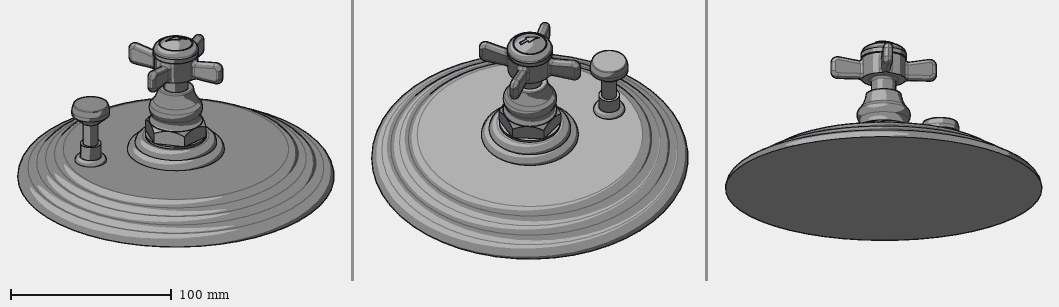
import cadquery as cq
import math

PLATE_RADIUS = 98.425
TOTAL_HEIGHT = 96.42

PLATE_WAVE_RADIUS = 6.35
PLATE_WAVE_ANGLE = math.radians(60)
PLATE_STEP_COUNT = 2
PLATE_HEIGHT = (PLATE_STEP_COUNT + 1) * PLATE_WAVE_RADIUS

FLANGE_TIER = 4.7625
FLANGE_TIER_COUNT = 2
FLANGE_RADIUS = 30.16
FLANGE_TOP = PLATE_HEIGHT + FLANGE_TIER_COUNT * FLANGE_TIER
WASHER_RADIUS = 19.05
WASHER_THICKNESS = 1.4
WASHER_TOP = FLANGE_TOP + WASHER_THICKNESS

HEX_SIDES = 6
HEX_ACROSS_FLATS = 33.6
HEX_ACROSS_CORNERS = HEX_ACROSS_FLATS / math.cos(math.pi / HEX_SIDES)
HEX_TOP = 39.4
HEX_TOP_RADIUS = 16.8

BONNET_BASE_RADIUS = 16.5
WAIST_RADIUS = 14.9
WAIST_Z = 42.3
BEAD_LOW_RADIUS = 15.7
BEAD_LOW_Z = 45.2
BEAD_RADIUS = 16.6
BEAD_Z = 47.9
BEAD_HIGH_RADIUS = 16.0
BEAD_HIGH_Z = 50.8
SHOULDER_RADIUS = 14.0
SHOULDER_Z = 53.3
BELL_MID_RADIUS = 12.2
BELL_MID_Z = 56.7
BELL_TOP_RADIUS = 11.0
BONNET_TOP = 62.2
BONNET_EDGE = 0.7

STEM_RADIUS = 7.65
STEM_FLARE = 1.7
HUB_RADIUS = 13.6
HUB_BOTTOM = 71.7
HUB_TOP = 85.1
HUB_TRIM = 5.0

ARROW_HEIGHT = 0.25
ARROW_TAIL_Y = 6.6
ARROW_HEAD_Y = 1.8
ARROW_TIP_Y = -6.6
ARROW_SHAFT_WIDTH = 2.0
ARROW_HEAD_WIDTH = 5.2

CAP_RADIUS = 14.2
CAP_EDGE = 0.4
CAP_SIDE_TOP = 88.3
CAP_SHOULDER_RADIUS = 13.8
CAP_SHOULDER_Z = 89.4
CAP_ROUND_MID_RADIUS = 12.7
CAP_ROUND_MID_Z = 91.2
CAP_RIM_RADIUS = 10.6
CAP_RIM_Z = 92.5
DOME_RADIUS = 10.0
DOME_TOP = TOTAL_HEIGHT - ARROW_HEIGHT
DOME_RISE = DOME_TOP - CAP_RIM_Z
DOME_SPHERE_RADIUS = (DOME_RADIUS**2 + DOME_RISE**2) / (2 * DOME_RISE)

ARM_COUNT = 4
ARM_FIRST_ANGLE = 45
ARM_REACH = 33.0
ARM_THICKNESS = 5.6
ARM_EDGE_RADIUS = 2.7
ARM_CORNER_RADIUS = 4.2
ARM_BOTTOM = HUB_BOTTOM
ARM_AXIS_TOP = 80.8
ARM_TIP_TOP = 86.6
ARM_ROOT_BLEND = 2.0
SEAM_TOLERANCE = 0.01

KNOB_Y = -55.1
KNOB_ROSETTE_RADIUS = 9.8
KNOB_ROSETTE_HEIGHT = 2.8
KNOB_SLEEVE_RADIUS = 6.45
KNOB_SLEEVE_TOP = 30.8
KNOB_STEM_RADIUS = 4.7
KNOB_CONE_BOTTOM = 45.6
KNOB_CONE_LOW_RADIUS = 5.6
KNOB_RADIUS = 11.8
KNOB_BAND_BOTTOM = 51.3
KNOB_BAND_TOP = 53.8
KNOB_MID_RADIUS = 11.5
KNOB_MID_Z = 55.7
KNOB_TOP_RADIUS = 10.8
KNOB_TOP = 58.0
KNOB_EDGE = 0.5


def quarter_round(profile, radius, z, size):
    """Add a convex quarter circle that rises from (radius, z) and turns inward."""
    bulge = size * math.sin(math.radians(45))
    middle = (radius - size + bulge, z + bulge)
    return profile.threePointArc(middle, (radius - size, z + size))


def turn(profile, z_top):
    """Close a half profile along the Z axis and revolve it into a solid."""
    return profile.lineTo(0, z_top).close().revolve(360, (0, 0, 0), (0, 1, 0))


def plate():
    r = PLATE_WAVE_RADIUS
    run = r * math.sin(PLATE_WAVE_ANGLE)
    rise = r * (1 - math.cos(PLATE_WAVE_ANGLE))
    mid_run = r * math.sin(PLATE_WAVE_ANGLE / 2)
    mid_rise = r * (1 - math.cos(PLATE_WAVE_ANGLE / 2))
    profile = cq.Workplane("XZ").lineTo(PLATE_RADIUS, 0)
    profile = quarter_round(profile, PLATE_RADIUS, 0, r)
    for step in range(PLATE_STEP_COUNT):
        foot_x = PLATE_RADIUS - r - step * 2 * run
        foot_z = (step + 1) * r
        top_x = foot_x - 2 * run
        top_z = foot_z + 2 * rise
        inflection = (foot_x - run, foot_z + rise)
        profile = profile.threePointArc((foot_x - mid_run, foot_z + mid_rise), inflection)
        profile = profile.threePointArc((top_x + mid_run, top_z - mid_rise), (top_x, top_z))
    return turn(profile, PLATE_HEIGHT)


def flange():
    profile = cq.Workplane("XZ").lineTo(FLANGE_RADIUS, 0).lineTo(FLANGE_RADIUS, PLATE_HEIGHT)
    for tier in range(FLANGE_TIER_COUNT):
        radius = FLANGE_RADIUS - tier * FLANGE_TIER
        profile = quarter_round(profile, radius, PLATE_HEIGHT + tier * FLANGE_TIER, FLANGE_TIER)
    profile = profile.lineTo(WASHER_RADIUS, FLANGE_TOP).lineTo(WASHER_RADIUS, WASHER_TOP)
    return turn(profile, WASHER_TOP)


def hex_nut():
    prism = (
        cq.Workplane("XY")
        .workplane(offset=WASHER_TOP)
        .polygon(HEX_SIDES, HEX_ACROSS_CORNERS)
        .extrude(HEX_TOP - WASHER_TOP)
    )
    cone_foot_radius = HEX_TOP_RADIUS + HEX_TOP - WASHER_TOP
    envelope = (
        cq.Workplane("XZ")
        .moveTo(0, WASHER_TOP)
        .lineTo(cone_foot_radius, WASHER_TOP)
        .lineTo(HEX_TOP_RADIUS, HEX_TOP)
    )
    return prism.intersect(turn(envelope, HEX_TOP))


def bonnet():
    profile = (
        cq.Workplane("XZ")
        .moveTo(0, WASHER_TOP)
        .lineTo(BONNET_BASE_RADIUS, WASHER_TOP)
        .lineTo(BONNET_BASE_RADIUS, HEX_TOP)
        .threePointArc((WAIST_RADIUS, WAIST_Z), (BEAD_LOW_RADIUS, BEAD_LOW_Z))
        .threePointArc((BEAD_RADIUS, BEAD_Z), (BEAD_HIGH_RADIUS, BEAD_HIGH_Z))
        .lineTo(SHOULDER_RADIUS, SHOULDER_Z)
        .threePointArc((BELL_MID_RADIUS, BELL_MID_Z), (BELL_TOP_RADIUS, BONNET_TOP - BONNET_EDGE))
    )
    profile = quarter_round(profile, BELL_TOP_RADIUS, BONNET_TOP - BONNET_EDGE, BONNET_EDGE)
    return turn(profile, BONNET_TOP)


def stem():
    flare_start = HUB_BOTTOM - STEM_FLARE
    flare_radius = STEM_RADIUS + STEM_FLARE
    bulge = STEM_FLARE * (1 - math.cos(math.radians(45)))
    profile = (
        cq.Workplane("XZ")
        .moveTo(0, HEX_TOP)
        .lineTo(STEM_RADIUS, HEX_TOP)
        .lineTo(STEM_RADIUS, flare_start)
        .threePointArc((STEM_RADIUS + bulge, HUB_BOTTOM - bulge), (flare_radius, HUB_BOTTOM))
    )
    return turn(profile, HUB_BOTTOM)


def arm():
    blank = (
        cq.Workplane("XZ")
        .moveTo(0, ARM_BOTTOM)
        .lineTo(ARM_REACH, ARM_BOTTOM)
        .lineTo(ARM_REACH, ARM_TIP_TOP)
        .lineTo(0, ARM_AXIS_TOP)
        .close()
        .extrude(ARM_THICKNESS / 2, both=True)
    )
    blank = blank.edges("|Y and >X").fillet(ARM_CORNER_RADIUS)
    return blank.faces("<Y or >Y").edges("not <X").fillet(ARM_EDGE_RADIUS)


def is_arm_root(edge):
    """Tell whether an edge is part of a seam where an arm meets the side of the hub."""
    points = edge.positions([0, 0.5, 1])
    on_hub = all(abs(math.hypot(p.x, p.y) - HUB_RADIUS) < SEAM_TOLERANCE for p in points)
    return on_hub and ARM_BOTTOM - SEAM_TOLERANCE < points[1].z < ARM_TIP_TOP


def hub_with_arms():
    column = (
        cq.Workplane("XY")
        .workplane(offset=HUB_BOTTOM - HUB_TRIM)
        .circle(HUB_RADIUS)
        .extrude(HUB_TOP - HUB_BOTTOM + 2 * HUB_TRIM)
    )
    single_arm = arm()
    for index in range(ARM_COUNT):
        angle = ARM_FIRST_ANGLE + index * 360 / ARM_COUNT
        column = column.union(single_arm.rotate((0, 0, 0), (0, 0, 1), angle))
    root_edges = [edge for edge in column.edges().vals() if is_arm_root(edge)]
    blended = column.newObject(root_edges).fillet(ARM_ROOT_BLEND)
    lower_trim = (
        cq.Workplane("XY")
        .workplane(offset=HUB_BOTTOM - HUB_TRIM)
        .circle(ARM_REACH)
        .extrude(HUB_TRIM)
    )
    upper_trim = cq.Workplane("XY").workplane(offset=HUB_TOP).circle(CAP_RADIUS).extrude(HUB_TRIM)
    return blended.cut(lower_trim).cut(upper_trim)


def cap():
    dome_mid_angle = math.asin(DOME_RADIUS / DOME_SPHERE_RADIUS) / 2
    dome_mid = (
        DOME_SPHERE_RADIUS * math.sin(dome_mid_angle),
        DOME_TOP - DOME_SPHERE_RADIUS * (1 - math.cos(dome_mid_angle)),
    )
    profile = (
        cq.Workplane("XZ")
        .moveTo(0, HUB_TOP)
        .lineTo(CAP_RADIUS - CAP_EDGE, HUB_TOP)
        .lineTo(CAP_RADIUS, HUB_TOP + CAP_EDGE)
        .lineTo(CAP_RADIUS, CAP_SIDE_TOP)
        .lineTo(CAP_SHOULDER_RADIUS, CAP_SHOULDER_Z)
        .threePointArc((CAP_ROUND_MID_RADIUS, CAP_ROUND_MID_Z), (CAP_RIM_RADIUS, CAP_RIM_Z))
        .lineTo(DOME_RADIUS, CAP_RIM_Z)
        .threePointArc(dome_mid, (0, DOME_TOP))
    )
    return profile.close().revolve(360, (0, 0, 0), (0, 1, 0)).union(arrow())


def arrow():
    shaft = ARROW_SHAFT_WIDTH / 2
    head = ARROW_HEAD_WIDTH / 2
    prism = (
        cq.Workplane("XY")
        .workplane(offset=CAP_RIM_Z)
        .moveTo(-shaft, ARROW_TAIL_Y)
        .lineTo(shaft, ARROW_TAIL_Y)
        .lineTo(shaft, ARROW_HEAD_Y)
        .lineTo(head, ARROW_HEAD_Y)
        .lineTo(0, ARROW_TIP_Y)
        .lineTo(-head, ARROW_HEAD_Y)
        .lineTo(-shaft, ARROW_HEAD_Y)
        .close()
        .extrude(TOTAL_HEIGHT - CAP_RIM_Z)
    )
    face_sphere = (
        cq.Workplane("XY")
        .workplane(offset=DOME_TOP - DOME_SPHERE_RADIUS)
        .sphere(DOME_SPHERE_RADIUS + ARROW_HEIGHT)
    )
    return prism.intersect(face_sphere)


def diverter_knob():
    profile = cq.Workplane("XZ").lineTo(KNOB_ROSETTE_RADIUS, 0).lineTo(KNOB_ROSETTE_RADIUS, PLATE_HEIGHT)
    profile = quarter_round(profile, KNOB_ROSETTE_RADIUS, PLATE_HEIGHT, KNOB_ROSETTE_HEIGHT)
    profile = (
        profile.lineTo(KNOB_SLEEVE_RADIUS, PLATE_HEIGHT + KNOB_ROSETTE_HEIGHT)
        .lineTo(KNOB_SLEEVE_RADIUS, KNOB_SLEEVE_TOP)
        .lineTo(KNOB_STEM_RADIUS, KNOB_SLEEVE_TOP)
        .lineTo(KNOB_STEM_RADIUS, KNOB_CONE_BOTTOM)
        .lineTo(KNOB_CONE_LOW_RADIUS, KNOB_CONE_BOTTOM)
        .lineTo(KNOB_RADIUS, KNOB_BAND_BOTTOM)
        .lineTo(KNOB_RADIUS, KNOB_BAND_TOP)
        .threePointArc((KNOB_MID_RADIUS, KNOB_MID_Z), (KNOB_TOP_RADIUS, KNOB_TOP - KNOB_EDGE))
    )
    profile = quarter_round(profile, KNOB_TOP_RADIUS, KNOB_TOP - KNOB_EDGE, KNOB_EDGE)
    return turn(profile, KNOB_TOP).translate((0, KNOB_Y, 0))


result = (
    plate()
    .union(flange())
    .union(hex_nut())
    .union(bonnet())
    .union(stem())
    .union(hub_with_arms())
    .union(cap())
    .union(diverter_knob())
)